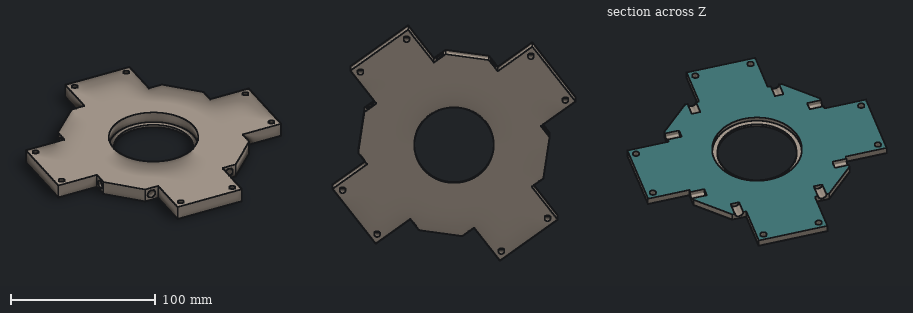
import cadquery as cq

span = 173.0
thickness = 10.0
arm_width = 50.0
body_width = 113.1
corner_chamfer = 21.5

bore_diameter = 62.0
ledge_diameter = 55.0
ledge_thickness = 2.0

mount_diameter = 4.2
mount_spacing = 40.0
mount_edge_distance = 5.0

side_diameter = 5.9
side_offset = 30.1
side_depth = 10.0

quarter_turns = [0, 90, 180, 270]


def make_plate():
    body = cq.Workplane("XY").rect(body_width, body_width).extrude(thickness)
    body = body.edges("|Z").chamfer(corner_chamfer)
    for length_x, length_y in [(span, arm_width), (arm_width, span)]:
        arms = cq.Workplane("XY").rect(length_x, length_y).extrude(thickness)
        body = body.union(arms)
    return body


def make_bore():
    through = cq.Workplane("XY").circle(ledge_diameter / 2).extrude(thickness)
    recess = (
        cq.Workplane("XY", origin=(0, 0, ledge_thickness))
        .circle(bore_diameter / 2)
        .extrude(thickness - ledge_thickness)
    )
    return through.union(recess)


def make_front_arm_holes():
    """Cutting cylinders for the mounting and shoulder holes of the -Y arm."""
    mount_y = mount_edge_distance - span / 2
    mounts = (
        cq.Workplane("XY")
        .pushPoints([(-mount_spacing / 2, mount_y), (mount_spacing / 2, mount_y)])
        .circle(mount_diameter / 2)
        .extrude(thickness)
    )
    shoulders = (
        cq.Workplane("XZ", origin=(0, -body_width / 2, thickness / 2))
        .pushPoints([(-side_offset, 0), (side_offset, 0)])
        .circle(side_diameter / 2)
        .extrude(-side_depth)
    )
    return mounts.union(shoulders)


result = make_plate().cut(make_bore())
arm_holes = make_front_arm_holes()
for angle in quarter_turns:
    result = result.cut(arm_holes.rotate((0, 0, 0), (0, 0, 1), angle))